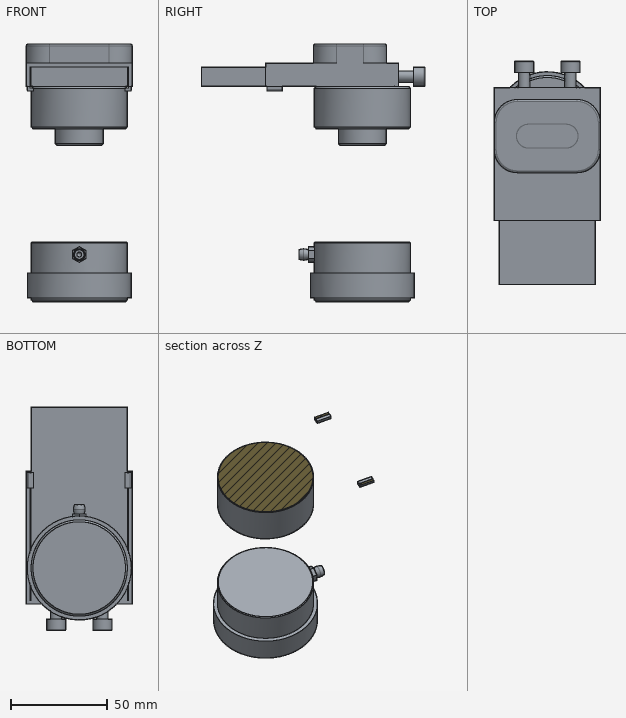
import cadquery as cq
import math

barrel_diameter = 50.0

pot_height = 31.0
pot_top_chamfer = 0.5
pot_bottom_chamfer = 1.0
collar_diameter = 54.0
collar_bottom = 2.0
collar_top = 15.0

fitting_height = 24.5
hex_across_flats = 7.0
hex_sides = 6
hex_corner_diameter = hex_across_flats / math.cos(math.pi / hex_sides)
hex_end = 28.0
hex_embed = 2.0
nipple_length = 4.9
nipple_crest_radius = 3.0
nipple_end_radius = 2.5
nipple_bore_diameter = 2.46
nipple_bore_cone_depth = 1.25

top_level = 133.75
cap_height = 10.0
roof_thickness = 2.0
plate_thickness = 10.0
barrel_height = 22.0
stem_height = 8.75
roof_level = top_level - cap_height
plate_top = roof_level - roof_thickness
plate_bottom = plate_top - plate_thickness
plate_middle = (plate_top + plate_bottom) / 2
barrel_bottom = plate_bottom - barrel_height
stem_bottom = barrel_bottom - stem_height

channel_width = 55.0
channel_rear = 18.75
channel_front = -50.25
wall_thickness = 2.0
rear_wall_thickness = 2.0
channel_inner_width = channel_width - 2 * wall_thickness

plate_width = 50.0
plate_front = -83.5

cap_depth = 38.0
cap_center_y = -6.45
cap_corner_radius = 12.0
cap_edge_radius = 1.0
window_length = 32.0
window_width = 12.4
window_thickness = 2.0

barrel_chamfer = 1.0
stem_diameter = 25.0
stem_chamfer = 1.0

screw_spacing = 24.0
shank_diameter = 6.0
head_diameter = 10.0
head_length = 6.0
head_edge_radius = 0.6
screw_rear = 32.5

clip_outer_x = 27.0
clip_inner_x = 23.75
clip_drop = 2.5
clip_gap = 0.75
clip_front = -49.5
clip_length = 8.0
clip_edge_radius = 0.75


def disc(diameter, bottom, top):
    """Upright cylinder on the Z axis between two levels."""
    return cq.Workplane("XY").workplane(offset=bottom).circle(diameter / 2).extrude(top - bottom)


def block(width, rear, front, bottom, top):
    """Box centred on X = 0 between the given Y and Z limits."""
    size = (width, rear - front, top - bottom)
    return cq.Workplane("XY").box(*size, centered=(True, False, False)).translate((0, front, bottom))


def build_cap():
    return (
        cq.Workplane("XY", origin=(0, cap_center_y, roof_level))
        .rect(channel_width, cap_depth)
        .extrude(cap_height)
        .edges("|Z")
        .fillet(cap_corner_radius)
        .faces(">Z")
        .edges()
        .fillet(cap_edge_radius)
    )


def build_window():
    """Flush inlay in the top of the cap."""
    return (
        cq.Workplane("XY", origin=(0, cap_center_y, top_level))
        .slot2D(window_length, window_width)
        .extrude(-window_thickness)
    )


def build_channel():
    channel = block(channel_width, channel_rear, channel_front, plate_bottom, roof_level)
    cavity_rear = channel_rear - rear_wall_thickness
    cavity = block(channel_inner_width, cavity_rear, channel_front, plate_bottom, plate_top)
    return channel.cut(cavity)


def build_plate():
    return block(plate_width, channel_rear, plate_front, plate_bottom, plate_top)


def build_barrel():
    barrel = disc(barrel_diameter, barrel_bottom, plate_bottom).faces("<Z or >Z").chamfer(barrel_chamfer)
    stem = disc(stem_diameter, stem_bottom, barrel_bottom).faces("<Z").chamfer(stem_chamfer)
    return barrel.union(stem)


def build_screw(x):
    """Screw along Y at the given X, its shank ending at the rear face of the channel."""
    head_front = screw_rear - head_length
    head = (
        cq.Workplane("XZ", origin=(x, head_front, plate_middle))
        .circle(head_diameter / 2)
        .extrude(-head_length)
        .faces(">Y")
        .edges()
        .fillet(head_edge_radius)
    )
    shank = (
        cq.Workplane("XZ", origin=(x, channel_rear, plate_middle))
        .circle(shank_diameter / 2)
        .extrude(channel_rear - head_front)
    )
    return head.union(shank)


def build_clip():
    """Clip on the +X wall: a leg below the wall and a foot reaching under the plate."""
    leg_inner_x = channel_inner_width / 2
    clip_bottom = plate_bottom - clip_drop
    return (
        cq.Workplane("XZ", origin=(0, clip_front, 0))
        .moveTo(leg_inner_x, plate_bottom)
        .lineTo(clip_outer_x, plate_bottom)
        .lineTo(clip_outer_x, clip_bottom)
        .lineTo(clip_inner_x, clip_bottom)
        .lineTo(clip_inner_x, plate_bottom - clip_gap)
        .lineTo(leg_inner_x, plate_bottom - clip_gap)
        .close()
        .extrude(-clip_length)
        .edges("|Y and >X and <Z")
        .fillet(clip_edge_radius)
    )


def build_slide_unit():
    unit = build_channel().union(build_cap()).union(build_plate()).union(build_barrel())
    for side in (-1, 1):
        unit = unit.union(build_screw(side * screw_spacing / 2))
    clip = build_clip()
    unit = unit.union(clip).union(clip.mirror("YZ"))
    return unit.union(build_window(), clean=False)


def build_fitting():
    """Hexagon and bored nipple along -Y, built from the pot wall outward."""
    hex_start = barrel_diameter / 2 - hex_embed
    hexagon = (
        cq.Workplane("XZ", origin=(0, -hex_start, fitting_height))
        .transformed(rotate=(0, 0, 90))
        .polygon(hex_sides, hex_corner_diameter)
        .extrude(hex_end - hex_start)
    )
    half_length = nipple_length / 2
    crest_y = -hex_end - half_length
    tip_y = -hex_end - nipple_length
    bulge = nipple_crest_radius - nipple_end_radius
    bulge_radius = (half_length**2 + bulge**2) / (2 * bulge)
    quarter = half_length / 2
    quarter_radius = nipple_crest_radius - bulge_radius + math.sqrt(bulge_radius**2 - quarter**2)
    nipple = (
        cq.Workplane("XY")
        .moveTo(0, -hex_end)
        .lineTo(nipple_end_radius, -hex_end)
        .threePointArc((quarter_radius, crest_y + quarter), (nipple_crest_radius, crest_y))
        .threePointArc((quarter_radius, crest_y - quarter), (nipple_end_radius, tip_y))
        .lineTo(nipple_bore_diameter / 2, tip_y)
        .lineTo(0, tip_y + nipple_bore_cone_depth)
        .close()
        .revolve(360, (0, 0, 0), (0, 1, 0))
        .translate((0, 0, fitting_height))
    )
    return hexagon.union(nipple)


def build_pot():
    body = (
        disc(barrel_diameter, 0, pot_height)
        .faces(">Z")
        .chamfer(pot_top_chamfer)
        .faces("<Z")
        .chamfer(pot_bottom_chamfer)
    )
    collar = disc(collar_diameter, collar_bottom, collar_top)
    return body.union(collar).union(build_fitting())


slide_unit = build_slide_unit()
pot = build_pot()
result = cq.Compound.makeCompound([slide_unit.val(), pot.val()])